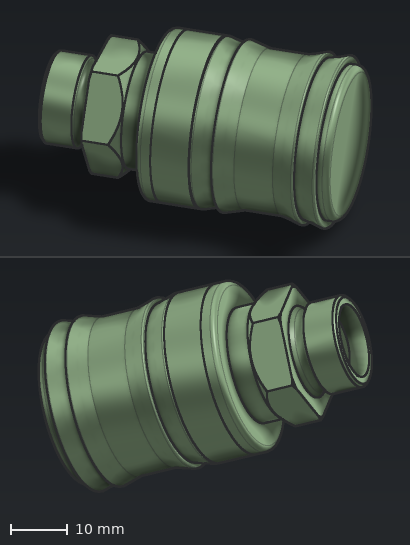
import cadquery as cq
import math


THREAD_END = 6.1
HEX_START = 8.95
HEX_END = 15.9
CAP_START = 19.9
LABEL_START = 22.7
GRIP_START = 29.75
END_RING_START = 52.8
TOTAL_LENGTH = 55.0

THREAD_DIAMETER = 16.65
THREAD_CHAMFER = 0.5
UNDERCUT_DIAMETER = 14.7
UNDERCUT_RADIUS = 1.2
UNDERCUT_THREAD_ANGLE = 52.0
UNDERCUT_HEX_ANGLE = 40.0
UNDERCUT_BOTTOM = 7.35
HEX_ACROSS_FLATS = 21.4
HEX_FRONT_FACE_DIAMETER = 23.45
HEX_FRONT_CHAMFER = 0.2
NECK_DIAMETER = 21.0
BORE_MOUTH_DIAMETER = 13.15
BORE_FLOOR_DIAMETER = 10.2
BORE_DEPTH = 3.1

BODY_DIAMETER = 31.0
CAP_FILLET = 1.0
WAIST_DIAMETER = 29.0
WAIST_START = 37.8
WAIST_END = 44.9
SECOND_LIP = 33.8
THIRD_LIP = 48.85
END_LIP_RADIUS = 0.4
LIP_RADIUS = 0.3

END_RING_DIAMETER = 28.0
END_RING_FILLET = 1.15

BODY_RADIUS = BODY_DIAMETER / 2
WAIST_RADIUS = WAIST_DIAMETER / 2


def revolve_about_x(outline):
    """Turn a closed outline, drawn as (x, radius), into a solid of revolution about X."""
    return outline.close().revolve(360, (0, 0, 0), (1, 0, 0))


def disc(start, end, diameter):
    return cq.Workplane("YZ", origin=(start, 0, 0)).circle(diameter / 2).extrude(end - start)


def fitting_core():
    """Round parts of the fitting: chamfered thread, undercut behind it and the neck."""
    thread_radius = THREAD_DIAMETER / 2
    neck_radius = NECK_DIAMETER / 2
    thread_angle = math.radians(UNDERCUT_THREAD_ANGLE)
    hex_angle = math.radians(UNDERCUT_HEX_ANGLE)
    bottom_radius = UNDERCUT_DIAMETER / 2
    center_radius = bottom_radius + UNDERCUT_RADIUS

    arc_start = (
        UNDERCUT_BOTTOM - UNDERCUT_RADIUS * math.sin(thread_angle),
        center_radius - UNDERCUT_RADIUS * math.cos(thread_angle),
    )
    arc_end = (
        UNDERCUT_BOTTOM + UNDERCUT_RADIUS * math.sin(hex_angle),
        center_radius - UNDERCUT_RADIUS * math.cos(hex_angle),
    )
    root_radius = arc_end[1] + (HEX_START - arc_end[0]) * math.tan(hex_angle)

    outline = (
        cq.Workplane("XY")
        .moveTo(0, 0)
        .lineTo(0, thread_radius - THREAD_CHAMFER)
        .lineTo(THREAD_CHAMFER, thread_radius)
        .lineTo(THREAD_END, thread_radius)
        .lineTo(*arc_start)
        .threePointArc((UNDERCUT_BOTTOM, bottom_radius), arc_end)
        .lineTo(HEX_START, root_radius)
        .lineTo(HEX_START, neck_radius)
        .lineTo(CAP_START, neck_radius)
        .lineTo(CAP_START, 0)
    )
    return revolve_about_x(outline)


def chamfered_hex():
    """Hexagon with flats facing +Z and -Z, its corners turned off at both ends."""
    corner_radius = HEX_ACROSS_FLATS / math.sqrt(3)
    neck_radius = NECK_DIAMETER / 2
    prism = (
        cq.Workplane("YZ", origin=(HEX_START, 0, 0))
        .polygon(6, 2 * corner_radius)
        .extrude(HEX_END - HEX_START)
    )
    rear_chamfer = corner_radius - neck_radius
    envelope = revolve_about_x(
        cq.Workplane("XY")
        .moveTo(HEX_START, 0)
        .lineTo(HEX_START, HEX_FRONT_FACE_DIAMETER / 2)
        .lineTo(HEX_START + HEX_FRONT_CHAMFER, corner_radius)
        .lineTo(HEX_END - rear_chamfer, corner_radius)
        .lineTo(HEX_END, neck_radius)
        .lineTo(HEX_END, 0)
    )
    return prism.intersect(envelope)


def tapered_bore():
    return revolve_about_x(
        cq.Workplane("XY")
        .moveTo(0, 0)
        .lineTo(0, BORE_MOUTH_DIAMETER / 2)
        .lineTo(BORE_DEPTH, BORE_FLOOR_DIAMETER / 2)
        .lineTo(BORE_DEPTH, 0)
    )


def make_fitting():
    return fitting_core().union(chamfered_hex()).cut(tapered_bore())


def make_cap():
    return disc(CAP_START, LABEL_START, BODY_DIAMETER).faces("<X").edges().fillet(CAP_FILLET)


def make_label_ring():
    return disc(LABEL_START, GRIP_START, BODY_DIAMETER)


def lip_points(face_x, foot_x, radius):
    """Rounded lip between a flat face and a cone falling to the waist radius at foot_x.

    Returns the arc's start on the flat face, its crest and its end on the cone.
    """
    side = math.copysign(1, foot_x - face_x)
    center_x = face_x + side * radius
    center_radius = BODY_RADIUS - radius
    run = abs(foot_x - center_x)
    drop = center_radius - WAIST_RADIUS
    slope = math.atan2(drop, run) + math.asin(radius / math.hypot(run, drop))
    on_face = (face_x, center_radius)
    crest = (center_x, BODY_RADIUS)
    on_cone = (center_x + side * radius * math.sin(slope), center_radius + radius * math.cos(slope))
    return on_face, crest, on_cone


def make_grip():
    """Sleeve with two rounded lips toward each end and a narrower waist between them."""
    outline = cq.Workplane("XY").moveTo(GRIP_START, 0)

    for face_x, foot_x, radius in (
        (GRIP_START, SECOND_LIP, END_LIP_RADIUS),
        (SECOND_LIP, WAIST_START, LIP_RADIUS),
    ):
        on_face, crest, on_cone = lip_points(face_x, foot_x, radius)
        outline = outline.lineTo(*on_face).threePointArc(crest, on_cone).lineTo(foot_x, WAIST_RADIUS)

    for face_x, foot_x in ((THIRD_LIP, WAIST_END), (END_RING_START, THIRD_LIP)):
        on_face, crest, on_cone = lip_points(face_x, foot_x, LIP_RADIUS)
        outline = outline.lineTo(foot_x, WAIST_RADIUS).lineTo(*on_cone).threePointArc(crest, on_face)

    return revolve_about_x(outline.lineTo(END_RING_START, 0))


def make_end_ring():
    ring = disc(END_RING_START, TOTAL_LENGTH, END_RING_DIAMETER)
    return ring.faces(">X").edges().fillet(END_RING_FILLET)


fitting = make_fitting()
cap = make_cap()
label_ring = make_label_ring()
grip = make_grip()
end_ring = make_end_ring()

result = cq.Compound.makeCompound(
    [fitting.val(), cap.val(), label_ring.val(), grip.val(), end_ring.val()]
)